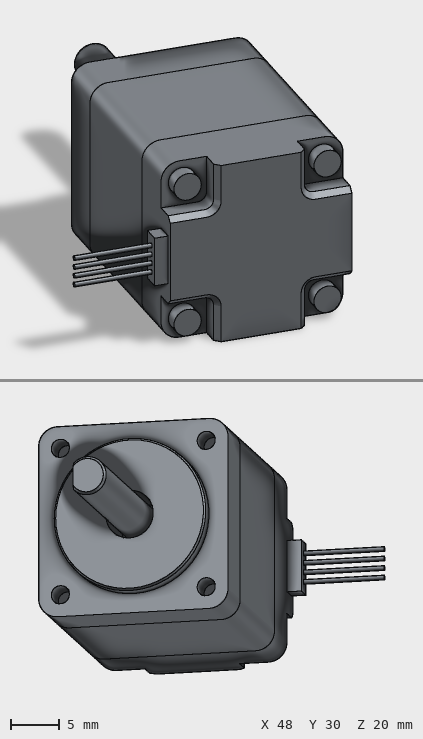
import cadquery as cq


case_width = 20.0
case_corner_radius = 2.0
front_cap_end = 5.25
stator_end = 20.0
case_length = 28.0

boss_diameter = 16.0
boss_height = 1.6
boss_chamfer = 0.2
shaft_clearance_diameter = 5.0

screw_offset = 7.7
mounting_hole_diameter = 1.9
mounting_hole_depth = 3.0

shaft_diameter = 4.0
shaft_reach = 20.0
shaft_tip_chamfer = 0.25
shaft_flat_offset = 1.45
shaft_flat_length = 15.0

notch_depth = 2.6
notch_wall_offset = 5.0
notch_inner_radius = 1.0
notch_chamfer = 0.6
screw_head_diameter = 3.0
screw_head_height = 1.6

connector_length = 2.0
connector_projection = 1.5
connector_height = 5.4
wire_count = 4
wire_pitch = 1.0
wire_diameter = 0.5
wire_offset = 1.1
wire_tip_reach = 20.0

half_width = case_width / 2
notch_floor = case_length - notch_depth
corner_signs = [(sy, sz) for sy in (-1, 1) for sz in (-1, 1)]
screw_points = [(sy * screw_offset, sz * screw_offset) for sy, sz in corner_signs]


def plane_at(x):
    """YZ sketch plane at the given X, facing +X."""
    return cq.Workplane("YZ", origin=(x, 0, 0))


def case_section(start, end):
    """Square length of case with rounded long edges."""
    block = plane_at(start).rect(case_width, case_width).extrude(end - start)
    return block.edges("|X").fillet(case_corner_radius)


def make_front_cap():
    """Front cap with centring boss, shaft clearance bore and mounting holes."""
    cap = case_section(0, front_cap_end)
    boss = plane_at(-boss_height).circle(boss_diameter / 2).extrude(boss_height)
    boss = boss.faces("<X").chamfer(boss_chamfer)
    bore_length = boss_height + front_cap_end
    bore = plane_at(-boss_height).circle(shaft_clearance_diameter / 2).extrude(bore_length)
    holes = (
        plane_at(0)
        .pushPoints(screw_points)
        .circle(mounting_hole_diameter / 2)
        .extrude(mounting_hole_depth)
    )
    return cap.union(boss).cut(bore).cut(holes)


def make_stator():
    """Plain middle length of the case."""
    return case_section(front_cap_end, stator_end)


def notch_cutter(sign_y, sign_z):
    """Corner notch with a rounded inner edge, open to both case sides."""
    notch_size = half_width
    centre = notch_wall_offset + notch_size / 2
    cutter = plane_at(notch_floor).center(sign_y * centre, sign_z * centre)
    cutter = cutter.rect(notch_size, notch_size).extrude(notch_depth)
    return cutter.edges("|X").fillet(notch_inner_radius)


def make_rear_cap():
    """Rear cap with four notched corners, each carrying a screw head."""
    cap = case_section(stator_end, case_length)
    for sign_y, sign_z in corner_signs:
        cap = cap.cut(notch_cutter(sign_y, sign_z))
    notch_rims = cap.faces(">X").edges("not (<Y or >Y or <Z or >Z)")
    cap = notch_rims.chamfer(notch_chamfer)
    heads = (
        plane_at(notch_floor)
        .pushPoints(screw_points)
        .circle(screw_head_diameter / 2)
        .extrude(screw_head_height)
    )
    return cap.union(heads)


def make_shaft():
    """Output shaft, standing on the stator, with a flat on its +Y side."""
    shaft = plane_at(-shaft_reach).circle(shaft_diameter / 2).extrude(shaft_reach + front_cap_end)
    shaft = shaft.faces("<X").chamfer(shaft_tip_chamfer)
    flat_cutter = cq.Workplane("XY").box(
        shaft_flat_length, shaft_diameter, shaft_diameter, centered=(False, False, True)
    )
    return shaft.cut(flat_cutter.translate((-shaft_reach, shaft_flat_offset, 0)))


def make_connector():
    """Connector block on the -Y face of the rear cap, with its row of wires."""
    block = cq.Workplane("XY").box(connector_length, connector_projection, connector_height)
    block_x = notch_floor + connector_length / 2
    block = block.translate((block_x, -half_width - connector_projection / 2, 0))
    block_face = half_width + connector_projection
    wire_x = notch_floor + wire_offset
    wires = (
        cq.Workplane("XZ", origin=(wire_x, -block_face, 0))
        .rarray(wire_pitch, wire_pitch, 1, wire_count)
        .circle(wire_diameter / 2)
        .extrude(wire_tip_reach - block_face)
    )
    return block.union(wires)


front_cap = make_front_cap()
stator = make_stator()
rear_cap = make_rear_cap()
shaft = make_shaft()
connector = make_connector()

result = cq.Compound.makeCompound(
    [front_cap.val(), stator.val(), rear_cap.val(), shaft.val(), connector.val()]
)